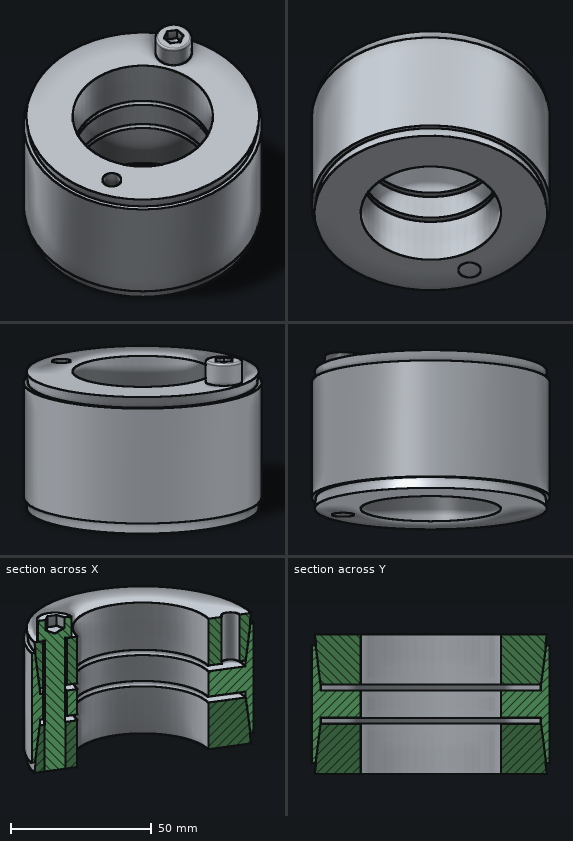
import cadquery as cq
import math

sleeve_diameter = 85.0
bore_diameter = 50.0
total_height = 50.0
ring_protrusion = 4.0
ring_height = 18.0
ring_large_diameter = 83.0
cone_angle = 7.1
web_gap = 2.0

hole_circle_radius = 33.5
jack_hole_diameter = 6.6
clearance_diameter = 9.0

shank_diameter = 8.0
head_diameter = 13.0
head_height = 8.0
head_fillet = 0.8
socket_flats = 6.0
socket_depth = 4.0
socket_tip_depth = 1.7

half_height = total_height / 2
sleeve_half_height = half_height - ring_protrusion
ring_inner_face = half_height - ring_height
web_half_height = ring_inner_face - web_gap
bore_radius = bore_diameter / 2


def cone_radius(height):
    """Radius of the upper cone at a height above the mid plane."""
    return ring_large_diameter / 2 - (half_height - height) * math.tan(math.radians(cone_angle))


def revolve_profile(points):
    """Revolve a closed outline of (radius, height) points about Z."""
    return cq.Workplane("XZ").polyline(points).close().revolve(360, (0, 0), (0, 1))


def full_height_cylinder(diameter, y):
    """Vertical cylinder from the bottom to the top face of the rings."""
    return (
        cq.Workplane("XY", origin=(0, y, -half_height))
        .circle(diameter / 2)
        .extrude(total_height)
    )


def make_cone_ring():
    """Upper clamping ring without screw holes."""
    return revolve_profile([
        (bore_radius, ring_inner_face),
        (cone_radius(ring_inner_face), ring_inner_face),
        (cone_radius(half_height), half_height),
        (bore_radius, half_height),
    ])


def make_upper_ring():
    """Ring with a screw clearance hole and a jacking hole opposite it."""
    ring = make_cone_ring().cut(full_height_cylinder(clearance_diameter, hole_circle_radius))
    return ring.cut(full_height_cylinder(jack_hole_diameter, -hole_circle_radius))


def make_lower_ring():
    """Mirrored ring whose hole receives the end of the screw."""
    return make_cone_ring().mirror("XY").cut(full_height_cylinder(shank_diameter, hole_circle_radius))


def make_sleeve():
    """Outer sleeve with two conical seats and a central web that reaches the bore."""
    seat_end_radius = cone_radius(ring_inner_face)
    mouth_radius = cone_radius(sleeve_half_height)
    upper_seat = [
        (mouth_radius, sleeve_half_height),
        (seat_end_radius, ring_inner_face),
        (seat_end_radius, web_half_height),
        (bore_radius, web_half_height),
    ]
    lower_seat = [(radius, -height) for radius, height in reversed(upper_seat)]
    outside = [
        (sleeve_diameter / 2, -sleeve_half_height),
        (sleeve_diameter / 2, sleeve_half_height),
    ]
    sleeve = revolve_profile(outside + upper_seat + lower_seat)
    return sleeve.cut(full_height_cylinder(clearance_diameter, hole_circle_radius))


def make_socket():
    """Hexagonal socket cutter with a conical bottom and corners toward +Y and -Y."""
    corner_radius = socket_flats / math.sqrt(3)
    hexagon = (
        cq.Workplane("XY")
        .polygon(6, 2 * corner_radius)
        .extrude(-socket_depth - socket_tip_depth)
        .rotate((0, 0, 0), (0, 0, 1), 90)
    )
    pointed_bore = revolve_profile([
        (0, 0),
        (corner_radius, 0),
        (corner_radius, -socket_depth),
        (0, -socket_depth - socket_tip_depth),
    ])
    return hexagon.intersect(pointed_bore)


def make_screw():
    """Socket head screw seated on the upper ring, its end flush with the lower ring."""
    head = (
        cq.Workplane("XY", origin=(0, hole_circle_radius, half_height))
        .circle(head_diameter / 2)
        .extrude(head_height)
        .faces(">Z").edges().fillet(head_fillet)
    )
    socket = make_socket().translate((0, hole_circle_radius, half_height + head_height))
    return head.cut(socket).union(full_height_cylinder(shank_diameter, hole_circle_radius))


sleeve = make_sleeve()
upper_ring = make_upper_ring()
lower_ring = make_lower_ring()
screw = make_screw()

result = cq.Compound.makeCompound([
    sleeve.solids().val(),
    upper_ring.solids().val(),
    lower_ring.solids().val(),
    screw.solids().val(),
])